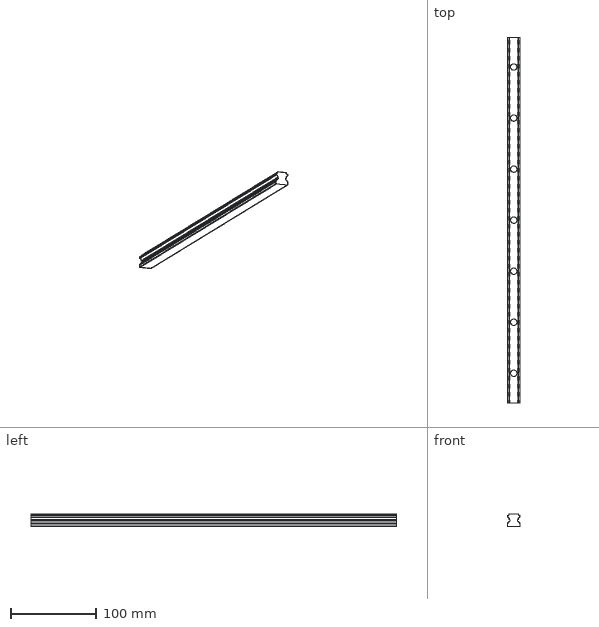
import cadquery as cq
import math

rail_width = 15.0
rail_length = 430.0
rail_height = 15.0

top_flat_width = 9.9
upper_groove_top_width = 11.4
upper_groove_top = 14.2
head_side_top = 12.8
head_side_bottom = 11.4
lower_groove_top_width = 14.0
lower_groove_top = 10.9
lower_groove_bottom_width = 10.8
lower_groove_bottom = 8.3
groove_depth = 0.5

waist_width = 9.4
waist_top = 7.7
waist_bottom = 6.6
foot_shoulder_width = 14.0
foot_side_top = 2.8
foot_bottom_chamfer = 0.5

cap_count = 7
cap_pitch = 60.0
cap_diameter = 7.5
cap_depth = 0.2


def groove_middle(start, end):
    """Deepest point of a concave arc whose rim runs from start to end down the right side."""
    chord_x = end[0] - start[0]
    chord_z = end[1] - start[1]
    chord_length = math.hypot(chord_x, chord_z)
    return (
        (start[0] + end[0]) / 2 + groove_depth * chord_z / chord_length,
        (start[1] + end[1]) / 2 - groove_depth * chord_x / chord_length,
    )


def rail_body():
    """Extrude the symmetric rail profile along the full length."""
    upper_start = (upper_groove_top_width / 2, upper_groove_top)
    upper_end = (rail_width / 2, head_side_top)
    lower_start = (lower_groove_top_width / 2, lower_groove_top)
    lower_end = (lower_groove_bottom_width / 2, lower_groove_bottom)
    foot_shoulder = waist_bottom - (foot_shoulder_width - waist_width) / 2
    half_profile = (
        cq.Workplane("XZ")
        .moveTo(0, rail_height)
        .lineTo(top_flat_width / 2, rail_height)
        .lineTo(*upper_start)
        .threePointArc(groove_middle(upper_start, upper_end), upper_end)
        .lineTo(rail_width / 2, head_side_bottom)
        .lineTo(*lower_start)
        .threePointArc(groove_middle(lower_start, lower_end), lower_end)
        .lineTo(waist_width / 2, waist_top)
        .lineTo(waist_width / 2, waist_bottom)
        .lineTo(foot_shoulder_width / 2, foot_shoulder)
        .lineTo(rail_width / 2, foot_side_top)
        .lineTo(rail_width / 2, foot_bottom_chamfer)
        .lineTo(rail_width / 2 - foot_bottom_chamfer, 0)
        .lineTo(0, 0)
    )
    return half_profile.mirrorY().extrude(rail_length / 2, both=True)


def cut_cap_recesses(body):
    """Cut the row of shallow round recesses in the top face."""
    first_cap_y = -cap_pitch * (cap_count - 1) / 2
    cap_positions = [(0, first_cap_y + cap_pitch * i) for i in range(cap_count)]
    recesses = (
        cq.Workplane("XY", origin=(0, 0, rail_height))
        .pushPoints(cap_positions)
        .circle(cap_diameter / 2)
        .extrude(-cap_depth)
    )
    return body.cut(recesses)


result = cut_cap_recesses(rail_body())